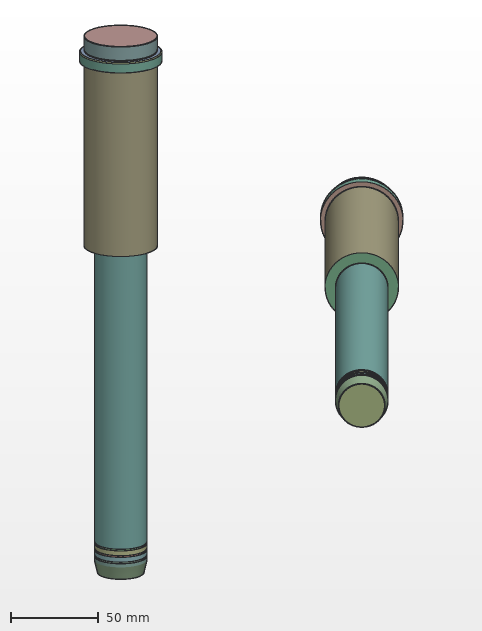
import cadquery as cq

total_length = 320.0
head_diameter = 42.0
collar_diameter = 47.0
stem_diameter = 30.0

head_length = 125.0
collar_depth = 9.0
collar_thickness = 6.0

tip_diameter = 26.5
tip_length = 7.7
groove_count = 3
groove_pitch = 4.0
groove_width = 1.0
groove_depth = 0.3
first_groove_height = 10.0

relief_width = 0.5
relief_depth = 0.3
collar_chamfer = 0.5
end_chamfer = 0.3


def cylinder(diameter, bottom, height):
    """Solid cylinder on the Z axis, starting at the given height."""
    return cq.Workplane("XY").workplane(offset=bottom).circle(diameter / 2).extrude(height)


def tapered_tip():
    """Cone that narrows from the stem to the lower end."""
    return (
        cq.Workplane("XY")
        .circle(tip_diameter / 2)
        .workplane(offset=tip_length)
        .circle(stem_diameter / 2)
        .loft(ruled=True)
    )


def ring_cutter(diameter, bottom, width, depth):
    """Ring of material removed to leave one groove around a cylinder."""
    return cylinder(diameter, bottom, width).cut(
        cylinder(diameter - 2 * depth, bottom, width)
    )


head_bottom = total_length - head_length
collar_top = total_length - collar_depth
collar_bottom = collar_top - collar_thickness

head = cylinder(head_diameter, head_bottom, head_length)
head = head.faces(">Z").edges().chamfer(end_chamfer)
collar = cylinder(collar_diameter, collar_bottom, collar_thickness)
collar = collar.faces(">Z").edges().chamfer(collar_chamfer)
stem = cylinder(stem_diameter, tip_length, head_bottom - tip_length)

result = head.union(collar).union(stem).union(tapered_tip())
result = result.faces("<Z").edges().chamfer(end_chamfer)

for index in range(groove_count):
    groove_bottom = first_groove_height + index * groove_pitch
    result = result.cut(ring_cutter(stem_diameter, groove_bottom, groove_width, groove_depth))

for diameter, bottom in (
    (head_diameter, collar_top),
    (head_diameter, collar_bottom - relief_width),
    (stem_diameter, head_bottom - relief_width),
):
    result = result.cut(ring_cutter(diameter, bottom, relief_width, relief_depth))